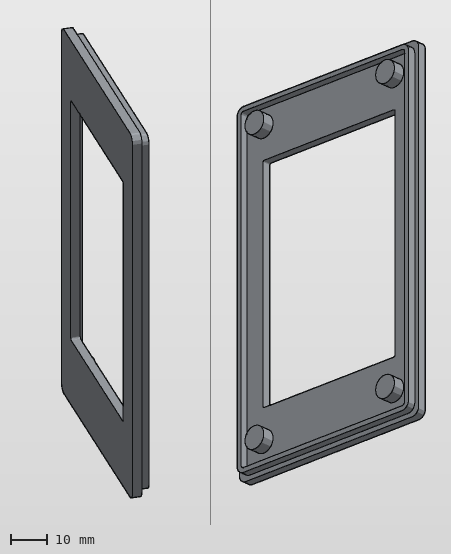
import cadquery as cq

plate_width = 66.5
plate_height = 112.2
plate_thickness = 2.7
corner_radius = 2.5

rim_inset = 1.5
rim_thickness = 2.5
rim_wall = 1.5
rim_width = plate_width - 2 * rim_inset
rim_height = plate_height - 2 * rim_inset

window_width = 48.9
window_height = 73.8
window_radius = 0.6
window_center_z = 0.8

post_diameter = 7.0
post_above_rim = 1.2
post_height = rim_thickness + post_above_rim
post_spacing_x = 48.5
post_spacing_z = 94.0


def plane_at(y):
    """XZ workplane at the given depth, whose normal points toward +Y."""
    return cq.Plane(origin=(0, y, 0), xDir=(-1, 0, 0), normal=(0, 1, 0))


def rounded_slab(width, height, thickness, radius, start_y, center_z=0):
    """Rectangular slab with rounded corners, extending toward +Y."""
    return (
        cq.Workplane(plane_at(start_y))
        .center(0, center_z)
        .rect(width, height)
        .extrude(thickness)
        .edges("|Y")
        .fillet(radius)
    )


plate = rounded_slab(plate_width, plate_height, plate_thickness, corner_radius, 0)
outer_block = rounded_slab(rim_width, rim_height, rim_thickness, corner_radius, plate_thickness)
recess = rounded_slab(
    rim_width - 2 * rim_wall,
    rim_height - 2 * rim_wall,
    rim_thickness,
    corner_radius - rim_wall,
    plate_thickness,
)
window = rounded_slab(window_width, window_height, plate_thickness, window_radius, 0, window_center_z)

posts = (
    cq.Workplane(plane_at(plate_thickness))
    .center(0, window_center_z)
    .rect(post_spacing_x, post_spacing_z, forConstruction=True)
    .vertices()
    .circle(post_diameter / 2)
    .extrude(post_height)
)

rim = outer_block.cut(recess)

result = plate.cut(window).union(rim).union(posts)